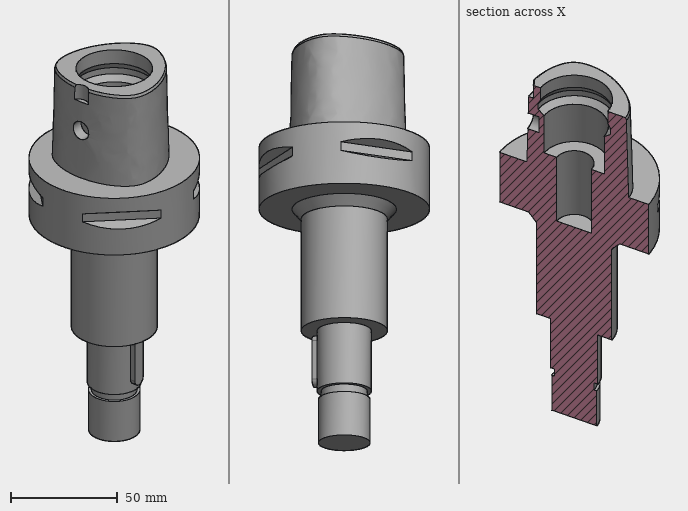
import cadquery as cq
import math

total_height = 193.0
flange_top = 145.3
flange_bottom = 115.0
cone_bottom = 110.2
body_bottom = 55.2
journal_bottom = 25.5
relief_bottom = 21.5

flange_diameter = 80.0
flange_radius = flange_diameter / 2
cone_top_radius = 24.5
body_radius = 20.3
journal_radius = 12.7
relief_radius = 10.8
end_radius = 12.2

shank_base_radius = 27.5
lobe_height = 2.0
outline_points = 24
taper_slope = 1 / 40
rim_chamfer_width = 0.5
rim_chamfer_height = 1.4

mouth_radius = 18.0
undercut_radius = 19.3
socket_radius = 16.0
drill_radius = 9.3
mouth_depth = 7.3
undercut_start_depth = 10.2
undercut_end_depth = 13.5
socket_start_depth = 16.0
socket_depth = 38.6
drill_depth = 77.2

notch_radius = 5.0
notch_depth = 7.7
notch_wall = 22.0
cross_hole_radius = 4.6
cross_hole_height = 170.2
cross_hole_floor = 19.0

groove_count = 4
groove_middle = 133.4
groove_floor_height = 4.2
groove_mouth_height = 9.0
groove_floor_distance = 35.5

key_bottom = 29.0
key_top = 54.0
key_width = 6.2
key_outer_face = 15.0
key_inner_face = 9.6


def revolve_profile(points):
    """Turn a closed (radius, height) outline around the Z axis."""
    return cq.Workplane("XZ").polyline(points).close().revolve(360, (0, 0), (0, 1))


def make_turned_body():
    return revolve_profile([
        (0, 0),
        (end_radius, 0),
        (end_radius, relief_bottom),
        (relief_radius, relief_bottom),
        (relief_radius, journal_bottom),
        (journal_radius, journal_bottom),
        (journal_radius, body_bottom),
        (body_radius, body_bottom),
        (body_radius, cone_bottom),
        (cone_top_radius, flange_bottom),
        (flange_radius, flange_bottom),
        (flange_radius, flange_top),
        (0, flange_top),
    ])


def lobed_wire(mean_radius, height):
    """Constant-width outline with three rounded lobes, one of them toward +Y."""
    points = []
    for index in range(outline_points):
        angle = 2 * math.pi * index / outline_points - math.pi / 2
        reach = mean_radius - lobe_height * math.sin(3 * angle)
        slope = -3 * lobe_height * math.cos(3 * angle)
        x = reach * math.cos(angle) - slope * math.sin(angle)
        y = reach * math.sin(angle) + slope * math.cos(angle)
        points.append(cq.Vector(x, y, height))
    return cq.Wire.assembleEdges([cq.Edge.makeSpline(points, periodic=True)])


def lobed_frustum(bottom_radius, bottom, top_radius, top):
    wires = [lobed_wire(bottom_radius, bottom), lobed_wire(top_radius, top)]
    return cq.Workplane(cq.Solid.makeLoft(wires, True))


def make_shank():
    chamfer_start = total_height - rim_chamfer_height
    rim_radius = shank_base_radius - taper_slope * (chamfer_start - flange_top)
    taper = lobed_frustum(shank_base_radius, flange_top, rim_radius, chamfer_start)
    rim = lobed_frustum(rim_radius, chamfer_start, rim_radius - rim_chamfer_width, total_height)
    return taper.union(rim)


def make_socket():
    steps = [
        (0, 0),
        (mouth_radius, 0),
        (mouth_radius, mouth_depth),
        (undercut_radius, undercut_start_depth),
        (undercut_radius, undercut_end_depth),
        (socket_radius, socket_start_depth),
        (socket_radius, socket_depth),
        (drill_radius, socket_depth),
        (drill_radius, drill_depth),
        (0, drill_depth),
    ]
    return revolve_profile([(radius, total_height - depth) for radius, depth in steps])


def make_notch():
    return (
        cq.Workplane("XY", origin=(0, -notch_wall - notch_radius, total_height - notch_depth))
        .circle(notch_radius)
        .extrude(notch_depth)
    )


def make_cross_hole():
    """Blind radial hole in the -Y side, stopping short of the socket."""
    return (
        cq.Workplane("XZ", origin=(0, -cross_hole_floor, cross_hole_height))
        .circle(cross_hole_radius)
        .extrude(flange_radius - cross_hole_floor)
    )


def make_groove(angle):
    """Straight groove with a flat floor and sloping sides, opening outward."""
    floor_half = groove_floor_height / 2
    mouth_half = groove_mouth_height / 2
    return (
        cq.Workplane("XZ", origin=(0, 0, groove_middle))
        .polyline([
            (groove_floor_distance, -floor_half),
            (flange_radius, -mouth_half),
            (flange_radius, mouth_half),
            (groove_floor_distance, floor_half),
        ])
        .close()
        .extrude(flange_radius, both=True)
        .rotate((0, 0, 0), (0, 0, 1), angle)
    )


def make_key():
    key_middle = (key_bottom + key_top) / 2
    return (
        cq.Workplane("YZ", origin=(key_inner_face, 0, key_middle))
        .slot2D(key_top - key_bottom, key_width, 90)
        .extrude(key_outer_face - key_inner_face)
    )


result = make_turned_body().union(make_shank()).union(make_key())
result = result.cut(make_socket()).cut(make_notch()).cut(make_cross_hole())
for index in range(groove_count):
    result = result.cut(make_groove((index + 0.5) * 360 / groove_count))